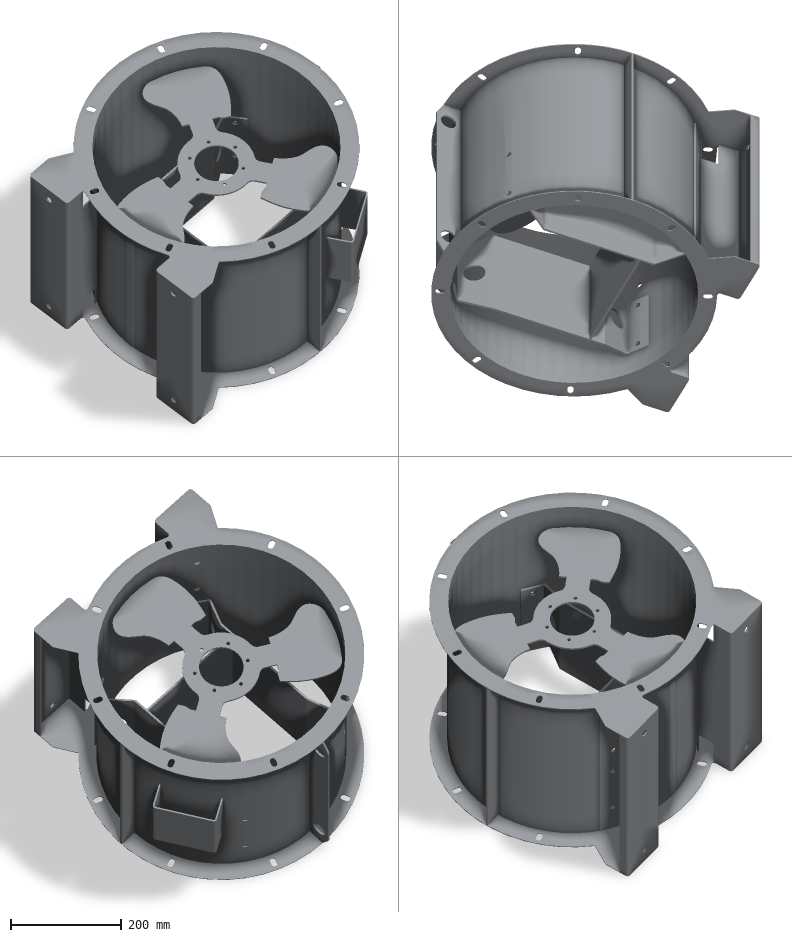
import cadquery as cq
import math

height = 385.0
mid_z = height / 2

shell_inner_r = 225.5
shell_wall = 2.0
shell_outer_r = shell_inner_r + shell_wall
flange_r = 260.0
flange_thickness = 2.0
flange_slot_count = 8
flange_slot_pitch_r = 243.5
flange_slot_length = 18.0
flange_slot_width = 11.0

seam_left = -9.0
seam_right = 8.0
seam_thickness = 1.5
seam_end_gap = 4.0

foot_sheet = 3.0
foot_bend_r = 6.0
foot_bottom_y = -280.0
foot_inner_x = 109.5
foot_outer_x = 205.0
foot_lip = 20.0
foot_notch_height = 52.0
foot_notch_y = -238.5
foot_hole_d = 13.0
foot_hole_x = 155.0
foot_hole_end = 30.0
foot_shoulder_y = -228.5
foot_root_x = 181.0
foot_root_fillet = 5.0

tab_angle = 54.5
foot_tab_near = -22.0
foot_tab_end_gap = 8.0
foot_tab_embed = 0.5
bolt_d = 11.0
bolt_offset = 4.5
bolt_spacing = 100.0
bolt_end = 63.5
bolt_drill_depth = 30.0
bracket_bolt_zs = (bolt_end, bolt_end + bolt_spacing)
foot_bolt_zs = bracket_bolt_zs + tuple(height - z for z in bracket_bolt_zs)

rib_thickness = 4.0
rib_end_gap = 1.5
rib_contact = 12.0
rib_tab_depth = 1.0
lug_outer_y = 274.35
lug_chamfer_height = 25.0
lug_hole_d = 30.0
lug_hole_end = 43.0

impeller_top = 335.0
impeller_thickness = 4.0
blade_count = 3
hub_r = 71.0
hub_bore_d = 81.0
hub_bolt_count = 6
hub_bolt_d = 7.0
hub_bolt_r = 50.0
neck_half_width = 22.0
neck_fillet = 14.0
blade_root_y = -99.0
blade_tip_r = 220.0
blade_trailing_root_x = 35.5
blade_trailing_tip_x = 57.0
blade_leading_tip_x = -37.0
blade_trailing_edge = [(39.5, -121.0), (51.0, -143.5), (74.0, -163.5), (83.5, -181.0), (77.5, -200.0)]
blade_leading_edge = [(-59.0, -206.0), (-68.0, -175.0), (-67.0, -137.0)]
blade_leading_root = [(-56.5, -95.0), (-43.0, -95.0), (-33.0, blade_root_y)]

bracket_sheet = 4.0
bracket_outer_x = 113.0
bracket_bend_y = 110.0
bracket_bar_y = -81.0
bracket_mid_z = 113.5
bracket_plate_height = 191.0
bracket_tab_height = 131.0
bracket_tab_near = -20.0
bracket_tab_far = 27.0
bracket_bend_r = 6.0
cable_hole_d = 40.0

handle_angle = 30.0
handle_sheet = 3.0
handle_size = 120.0
handle_bend_r = 6.0
handle_max_x = 261.35


def tangent_plane(angle, radius, z=0.0):
    """Plane square to the radius at this angle: local x runs counter-clockwise, local y runs up."""
    a = math.radians(angle)
    return cq.Plane(
        origin=(radius * math.cos(a), radius * math.sin(a), z),
        xDir=(-math.sin(a), math.cos(a), 0),
        normal=(math.cos(a), math.sin(a), 0),
    )


def on_tab(radius, offset):
    """XY point of the +X +Y tab plane, at a distance from the axis and an offset along the tab."""
    a = math.radians(tab_angle)
    return (
        radius * math.cos(a) - offset * math.sin(a),
        radius * math.sin(a) + offset * math.cos(a),
    )


def tab_offset_at(radius, x):
    """Offset along the tab plane at this distance from the axis where it crosses the given x."""
    a = math.radians(tab_angle)
    return (radius * math.cos(a) - x) / math.sin(a)


def box(x0, x1, y0, y1, z0, z1):
    return cq.Workplane().box(x1 - x0, y1 - y0, z1 - z0, centered=False).translate((x0, y0, z0))


def ring(inner_r, outer_r, z0, z1):
    return cq.Workplane().workplane(offset=z0).circle(outer_r).circle(inner_r).extrude(z1 - z0)


def bolt_holes(angle, offset, levels):
    """Radial drills for the tab bolts at one corner of the casing."""
    plane = tangent_plane(angle, shell_inner_r - bolt_drill_depth / 2)
    points = [(offset, z) for z in levels]
    return cq.Workplane(plane).pushPoints(points).circle(bolt_d / 2).extrude(bolt_drill_depth)


def flange_foot():
    """Plate of one flange foot, running in to the flange ring."""
    root_y = -math.sqrt(flange_r**2 - foot_root_x**2)
    ring_mid_r = (shell_outer_r + flange_r) / 2
    mid = math.radians(-tab_angle)
    return (
        cq.Workplane()
        .moveTo(foot_inner_x, foot_bottom_y)
        .lineTo(foot_outer_x, foot_bottom_y)
        .lineTo(foot_outer_x, foot_shoulder_y)
        .lineTo(foot_root_x, root_y)
        .lineTo(ring_mid_r * math.cos(mid), ring_mid_r * math.sin(mid))
        .lineTo(foot_inner_x, -math.sqrt(ring_mid_r**2 - foot_inner_x**2))
        .close()
        .extrude(flange_thickness)
    )


def flange():
    plate = cq.Workplane().circle(flange_r).extrude(flange_thickness)
    foot_plate = flange_foot()
    plate = plate.union(foot_plate).union(foot_plate.mirror("YZ"))
    foot_corner_y = -math.sqrt(flange_r**2 - foot_inner_x**2)
    for side in (-1, 1):
        corner = cq.selectors.NearestToPointSelector(
            (side * foot_inner_x, foot_corner_y, flange_thickness / 2)
        )
        plate = plate.edges("|Z").edges(corner).fillet(foot_root_fillet)
    for side in (-1, 1):
        for x in (foot_inner_x, foot_outer_x):
            corner = cq.selectors.NearestToPointSelector((side * x, foot_bottom_y, flange_thickness / 2))
            plate = plate.edges("|Z").edges(corner).fillet(foot_bend_r)
    slots = (
        cq.Workplane()
        .polarArray(flange_slot_pitch_r, 180 / flange_slot_count, 360, flange_slot_count)
        .slot2D(flange_slot_length, flange_slot_width)
        .extrude(flange_thickness)
    )
    return plate.cut(slots).cut(cq.Workplane().circle(shell_inner_r).extrude(flange_thickness))


def seam_strip():
    strip_inner_r = shell_inner_r + shell_wall / 2
    strip_outer_r = shell_outer_r + seam_thickness
    band = ring(strip_inner_r, strip_outer_r, seam_end_gap, height - seam_end_gap)
    return band.intersect(box(seam_left, seam_right, -flange_r, 0, 0, height))


def foot():
    """Bent sheet foot on the +X side: lip, base, inner leg and the tab along the shell."""
    leg_face_x = foot_inner_x + foot_sheet
    lip_face_x = foot_outer_x - foot_sheet
    base_face_y = foot_bottom_y + foot_sheet
    lip_end_y = foot_bottom_y + foot_lip
    tab_inner_r = shell_outer_r - foot_tab_embed
    tab_outer_r = tab_inner_r + foot_sheet
    outer_bend = on_tab(tab_inner_r, tab_offset_at(tab_inner_r, foot_inner_x))
    inner_bend = on_tab(tab_outer_r, tab_offset_at(tab_outer_r, leg_face_x))
    tab_inner_end = on_tab(tab_inner_r, foot_tab_near)
    tab_outer_end = on_tab(tab_outer_r, foot_tab_near)
    outline = [
        (foot_outer_x, lip_end_y),
        (foot_outer_x, foot_bottom_y),
        (foot_inner_x, foot_bottom_y),
        (outer_bend[0], -outer_bend[1]),
        (tab_inner_end[0], -tab_inner_end[1]),
        (tab_outer_end[0], -tab_outer_end[1]),
        (inner_bend[0], -inner_bend[1]),
        (leg_face_x, base_face_y),
        (lip_face_x, base_face_y),
        (lip_face_x, lip_end_y),
    ]
    sheet = cq.Workplane().polyline(outline).close().extrude(height)
    outer_r = foot_bend_r
    inner_r = foot_bend_r - foot_sheet
    outer_corners = [(corner, outer_r) for corner in (1, 2, 3)]
    inner_corners = [(corner, inner_r) for corner in (6, 7, 8)]
    for corner, radius in outer_corners + inner_corners:
        edge = cq.selectors.NearestToPointSelector(outline[corner] + (mid_z,))
        sheet = sheet.edges("|Z").edges(edge).fillet(radius)
    bend_run = outer_r * math.tan(math.radians(tab_angle) / 2)
    tab_start_y = -outer_bend[1] + bend_run * math.cos(math.radians(tab_angle))
    for z0, z1, tab_z0, tab_z1 in (
        (0, foot_notch_height, 0, foot_tab_end_gap),
        (height - foot_notch_height, height, height - foot_tab_end_gap, height),
    ):
        sheet = sheet.cut(box(0, leg_face_x, foot_notch_y, tab_start_y, z0, z1))
        sheet = sheet.cut(box(0, lip_face_x, tab_start_y, 0, tab_z0, tab_z1))
    holes = (
        cq.Workplane("XZ", origin=(0, base_face_y, 0))
        .pushPoints([(foot_hole_x, foot_hole_end), (foot_hole_x, height - foot_hole_end)])
        .circle(foot_hole_d / 2)
        .extrude(foot_sheet)
    )
    return sheet.cut(holes)


def make_casing(ribs):
    lower_flange = flange()
    upper_flange = lower_flange.translate((0, 0, height - flange_thickness))
    right_foot = foot()
    casing = ring(shell_inner_r, shell_outer_r, 0, height)
    for piece in (lower_flange, upper_flange, seam_strip(), right_foot, right_foot.mirror("YZ")):
        casing = casing.union(piece)
    for rib in ribs:
        casing = casing.cut(rib)
    for angle, offset, levels in (
        (-tab_angle, -bolt_offset, foot_bolt_zs),
        (180 + tab_angle, bolt_offset, foot_bolt_zs),
        (tab_angle, bolt_offset, bracket_bolt_zs),
        (180 - tab_angle, -bolt_offset, bracket_bolt_zs),
    ):
        casing = casing.cut(bolt_holes(angle, offset, levels))
    return casing


def rib_plate(outline):
    """Plate in the XZ plane with its inner edge cut to the shell and its ends set back from the flanges."""
    sketch = cq.Workplane("XZ", origin=(0, rib_thickness / 2, 0)).polyline(outline).close()
    plate = sketch.extrude(rib_thickness)
    return plate.cut(cq.Workplane().circle(shell_outer_r).extrude(height))


def rib_outline(outer_r, chamfer_height):
    """Outline with a short tab at each end that sits in a recess of the flange."""
    end = flange_thickness - rib_tab_depth
    inner_end = flange_thickness + rib_end_gap
    contact_r = flange_r - rib_contact
    lower = [(shell_inner_r, inner_end), (contact_r, inner_end), (contact_r, end), (flange_r, end)]
    if outer_r > flange_r:
        lower.append((outer_r, end + chamfer_height))
    return lower + [(x, height - z) for x, z in reversed(lower)]


def make_side_rib(angle):
    return rib_plate(rib_outline(flange_r, 0)).rotate((0, 0, 0), (0, 0, 1), angle)


def make_lifting_lug():
    lug = rib_plate(rib_outline(lug_outer_y, lug_chamfer_height))
    hole_x = (shell_outer_r + lug_outer_y) / 2
    holes = (
        cq.Workplane("XZ", origin=(0, rib_thickness / 2, 0))
        .pushPoints([(hole_x, lug_hole_end), (hole_x, height - lug_hole_end)])
        .circle(lug_hole_d / 2)
        .extrude(rib_thickness)
    )
    return lug.cut(holes).rotate((0, 0, 0), (0, 0, 1), 90)


def neck():
    """Arm from the hub to one blade, blended into the hub by a concave arc on each side."""
    arc_x = neck_half_width + neck_fillet
    arc_y = -math.sqrt((hub_r + neck_fillet) ** 2 - arc_x**2)
    touch = hub_r / (hub_r + neck_fillet)
    to_hub = math.atan2(-arc_y, -arc_x)
    bisector = (to_hub + math.pi) / 2
    start = (arc_x * touch, arc_y * touch)
    middle = (arc_x + neck_fillet * math.cos(bisector), arc_y + neck_fillet * math.sin(bisector))
    end = (neck_half_width, arc_y)
    return (
        cq.Workplane()
        .moveTo(0, 0)
        .lineTo(*start)
        .threePointArc(middle, end)
        .lineTo(neck_half_width, blade_root_y)
        .lineTo(-neck_half_width, blade_root_y)
        .lineTo(-end[0], end[1])
        .threePointArc((-middle[0], middle[1]), (-start[0], start[1]))
        .close()
        .extrude(impeller_thickness)
    )


def tip_point(x):
    """Point of the blade tip circle at this x, on the -Y side."""
    return (x, -math.sqrt(blade_tip_r**2 - x**2))


def blade():
    """Flat blade on the -Y side: curved leading and trailing edges and an arc at the tip."""
    trailing_tip = tip_point(blade_trailing_tip_x)
    leading_tip = tip_point(blade_leading_tip_x)
    outline = (
        cq.Workplane()
        .moveTo(-neck_half_width, blade_root_y)
        .lineTo(blade_trailing_root_x, blade_root_y)
        .spline(blade_trailing_edge + [trailing_tip], includeCurrent=True)
        .threePointArc((0, -blade_tip_r), leading_tip)
        .spline(blade_leading_edge + blade_leading_root[:1], includeCurrent=True)
    )
    for point in blade_leading_root[1:]:
        outline = outline.lineTo(*point)
    return outline.close().extrude(impeller_thickness)


def make_impeller():
    arm = neck().union(blade())
    impeller = cq.Workplane().circle(hub_r).extrude(impeller_thickness)
    for i in range(blade_count):
        impeller = impeller.union(arm.rotate((0, 0, 0), (0, 0, 1), i * 360 / blade_count))
    bore = cq.Workplane().circle(hub_bore_d / 2).extrude(impeller_thickness)
    bolts = (
        cq.Workplane()
        .polarArray(hub_bolt_r, 90, 360, hub_bolt_count)
        .circle(hub_bolt_d / 2)
        .extrude(impeller_thickness)
    )
    return impeller.cut(bore).cut(bolts).translate((0, 0, impeller_top - impeller_thickness))


def bracket_side():
    """Side plate at +X: flat middle, two bent arms and a tab at each end against the shell."""
    tab_outer_r = math.sqrt(shell_inner_r**2 - bracket_tab_far**2)
    corner = on_tab(tab_outer_r, bracket_tab_near)
    tip = on_tab(tab_outer_r, bracket_tab_far)
    outer = [(bracket_outer_x, bracket_bend_y), corner, tip]
    tip_inner = on_tab(tab_outer_r - bracket_sheet, bracket_tab_far)
    corner_inner = on_tab(tab_outer_r - bracket_sheet, bracket_tab_near + bracket_sheet)
    inner = [tip_inner, corner_inner, (bracket_outer_x - bracket_sheet, bracket_bend_y)]
    half = outer + inner
    outline = half + [(x, -y) for x, y in reversed(half)]
    sheet = (
        cq.Workplane()
        .workplane(offset=bracket_mid_z - bracket_plate_height / 2)
        .polyline(outline)
        .close()
        .extrude(bracket_plate_height)
    )
    for y_sign in (-1, 1):
        for (x, y), radius in ((corner, bracket_bend_r), (corner_inner, bracket_bend_r - bracket_sheet)):
            edge = cq.selectors.NearestToPointSelector((x, y_sign * y, bracket_mid_z))
            sheet = sheet.edges("|Z").edges(edge).fillet(radius)
    tab_start = on_tab(tab_outer_r, bracket_tab_near + bracket_bend_r)
    plate_half = bracket_plate_height / 2
    tab_half = bracket_tab_height / 2
    face_half = [(bracket_bend_y, plate_half), (tab_start[1], tab_half), (tip[1], tab_half)]
    face_right = face_half + [(y, -z) for y, z in reversed(face_half)]
    face_left = [(-y, z) for y, z in reversed(face_right)]
    face = (
        cq.Workplane("YZ", origin=(0, 0, bracket_mid_z))
        .polyline(face_right + face_left)
        .close()
        .extrude(shell_inner_r)
    )
    sheet = sheet.intersect(face)
    arm_angle = math.degrees(math.atan2(corner[1] - bracket_bend_y, corner[0] - bracket_outer_x))
    arm_mid = ((corner[0] + bracket_outer_x) / 2, (corner[1] + bracket_bend_y) / 2)
    for side in (-1, 1):
        hole = (
            cq.Workplane("YZ")
            .circle(cable_hole_d / 2)
            .extrude(2 * bracket_sheet, both=True)
            .rotate((0, 0, 0), (0, 0, 1), side * (arm_angle - 90))
            .translate((arm_mid[0], side * arm_mid[1], bracket_mid_z))
        )
        bolts = bolt_holes(side * tab_angle, side * bolt_offset, bracket_bolt_zs)
        sheet = sheet.cut(hole).cut(bolts)
    return sheet


def make_bracket():
    side = bracket_side()
    bar_x = bracket_outer_x - bracket_sheet
    bar = box(
        -bar_x, bar_x, bracket_bar_y - bracket_sheet / 2, bracket_bar_y + bracket_sheet / 2,
        bracket_mid_z - bracket_plate_height / 2, bracket_mid_z + bracket_plate_height / 2,
    )
    return bar.union(side).union(side.mirror("YZ"))


def make_handle():
    a = math.radians(handle_angle)
    half = handle_size / 2
    bend_offset = half - handle_bend_r
    bend_r = (handle_max_x - handle_bend_r - bend_offset * math.sin(a)) / math.cos(a)
    outer_r = bend_r + handle_bend_r
    z0 = mid_z - half
    z1 = mid_z + half
    outside = box(0, outer_r, -half, half, z0, z1)
    outside = outside.edges("|Z and >X").fillet(handle_bend_r)
    inner_half = half - handle_sheet
    inside = box(0, outer_r - handle_sheet, -inner_half, inner_half, z0, z1)
    inside = inside.edges("|Z and >X").fillet(handle_bend_r - handle_sheet)
    core = cq.Workplane().circle(shell_outer_r).extrude(height)
    return outside.cut(inside).cut(core).rotate((0, 0, 0), (0, 0, 1), handle_angle)


lifting_lug = make_lifting_lug()
side_ribs = [make_side_rib(angle) for angle in (0, 180)]
casing = make_casing([lifting_lug] + side_ribs)
impeller = make_impeller()
motor_bracket = make_bracket()
handle = make_handle()

result = cq.Compound.makeCompound(
    [casing.val(), lifting_lug.val()]
    + [rib.val() for rib in side_ribs]
    + [impeller.val(), motor_bracket.val(), handle.val()]
)